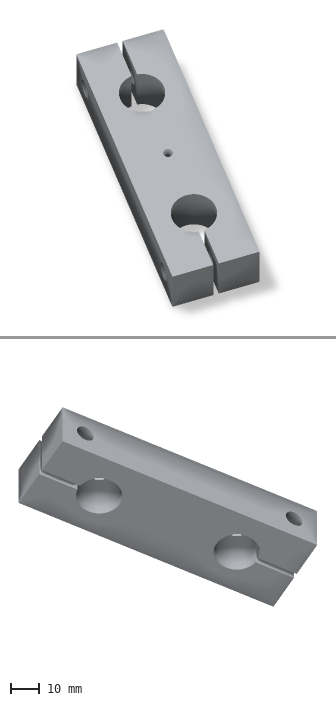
import cadquery as cq
import math

length = 100.0
width = 32.0
height = 18.0

bore_diameter = 16.0
bore_spacing = 54.0
slit_width = 2.0

screw_hole_diameter = 6.6
screw_hole_end_distance = 9.0

cone_diameter = 3.35
cone_angle = 60.0
pilot_diameter = 1.6
pilot_length = 2.0
drill_point_angle = 120.0


def make_block():
    return cq.Workplane("XY").box(length, width, height)


def make_rod_bore(side):
    bore = cq.Workplane("XY").center(side * bore_spacing / 2, 0).circle(bore_diameter / 2)
    return bore.extrude(height / 2, both=True)


def make_slit(side):
    slit_length = (length - bore_spacing) / 2
    slit_center = side * (length - slit_length) / 2
    return cq.Workplane("XY").center(slit_center, 0).box(slit_length, slit_width, height)


def make_screw_hole(side):
    hole_x = side * (length / 2 - screw_hole_end_distance)
    hole = cq.Workplane("XZ").center(hole_x, 0).circle(screw_hole_diameter / 2)
    return hole.extrude(width / 2, both=True)


def cone_height(radius_change, included_angle):
    return radius_change / math.tan(math.radians(included_angle / 2))


def make_center_hole():
    cone_radius = cone_diameter / 2
    pilot_radius = pilot_diameter / 2
    top = height / 2
    pilot_top = top - cone_height(cone_radius - pilot_radius, cone_angle)
    pilot_bottom = pilot_top - pilot_length
    tip = pilot_bottom - cone_height(pilot_radius, drill_point_angle)
    half_section = [
        (0, top),
        (cone_radius, top),
        (pilot_radius, pilot_top),
        (pilot_radius, pilot_bottom),
        (0, tip),
    ]
    return cq.Workplane("XZ").polyline(half_section).close().revolve(360, (0, 0), (0, 1))


result = make_block()
for side in (-1, 1):
    result = result.cut(make_rod_bore(side))
    result = result.cut(make_slit(side))
    result = result.cut(make_screw_hole(side))
result = result.cut(make_center_hole())